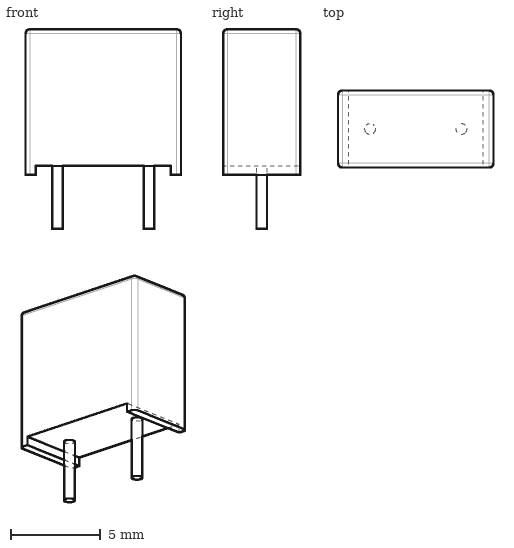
import cadquery as cq

body_length = 8.65
body_width = 4.3
body_height = 8.1
edge_radius = 0.25

foot_length = 0.575
foot_height = 0.5

lead_diameter = 0.6
lead_pitch = 5.08
lead_drop = 3.0


def make_body():
    """Box with rounded upright and top edges and a recess across its underside."""
    box = cq.Workplane("XY").box(body_length, body_width, body_height, centered=(True, True, False))
    box = box.edges("|Z or >Z").fillet(edge_radius)
    recess_length = body_length - 2 * foot_length
    recess = cq.Workplane("XY").box(recess_length, body_width, foot_height, centered=(True, True, False))
    return box.cut(recess)


def make_lead(x):
    """Lead running down from the roof of the recess."""
    return (
        cq.Workplane("XY", origin=(x, 0, -lead_drop))
        .circle(lead_diameter / 2)
        .extrude(lead_drop + foot_height)
    )


result = make_body()
for side in (-1, 1):
    result = result.union(make_lead(side * lead_pitch / 2))